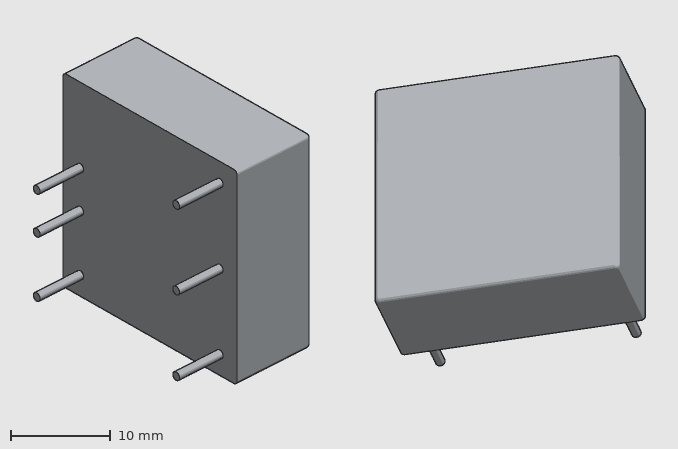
import cadquery as cq

body_side = 25.4
total_depth = 16.2
pin_length = 6.0
body_depth = total_depth - pin_length
edge_radius = 0.5

pin_diameter = 1.0
grid_pitch = 2.55
column_x = 4 * grid_pitch
left_pin_rows = (-4, -1, 1)
right_pin_rows = (-4, 0, 4)


def make_body():
    """Block with its front face on Y = 0, rounded everywhere but the front rim."""
    block = cq.Workplane("XY").box(body_side, body_depth, body_side)
    block = block.translate((0, body_depth / 2, 0))
    return block.edges("|Y or >Y").fillet(edge_radius)


def make_pins():
    """Round pins reaching forward (-Y) from the front face."""
    left = [(-column_x, row * grid_pitch) for row in left_pin_rows]
    right = [(column_x, row * grid_pitch) for row in right_pin_rows]
    return cq.Workplane("XZ").pushPoints(left + right).circle(pin_diameter / 2).extrude(pin_length)


result = make_body().union(make_pins())